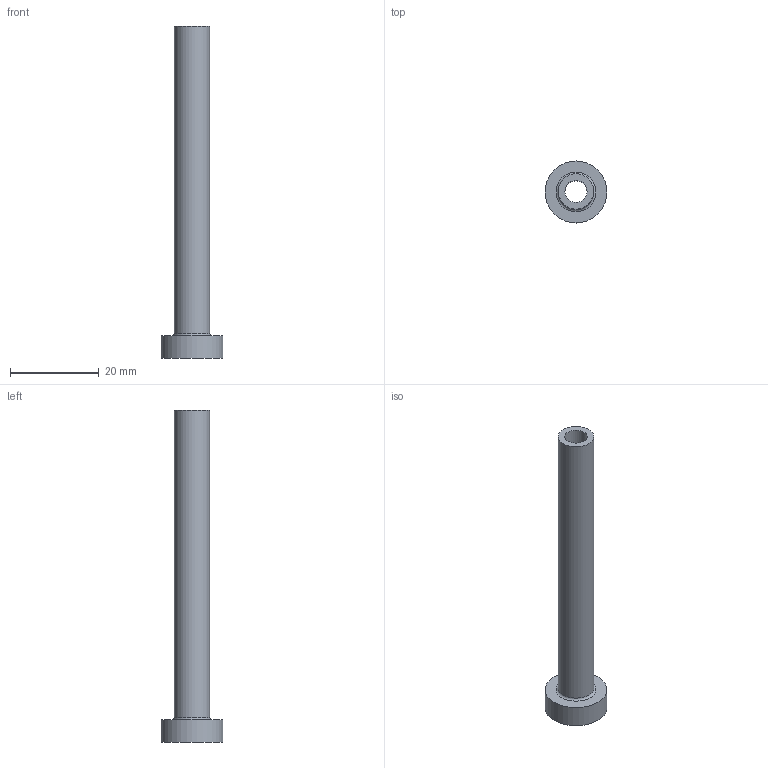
import cadquery as cq

total_length = 75.0
head_diameter = 14.0
head_height = 5.0
shaft_diameter = 8.0
bore_diameter = 5.0
neck_fillet_radius = 0.5

head_radius = head_diameter / 2
shaft_radius = shaft_diameter / 2
bore_radius = bore_diameter / 2


def sleeve_body():
    """Revolve the half section of head, shaft, neck fillet and through bore."""
    fillet_top = head_height + neck_fillet_radius
    fillet_outer_radius = shaft_radius + neck_fillet_radius
    half_section = (
        cq.Workplane("XZ")
        .moveTo(-bore_radius, 0)
        .lineTo(-head_radius, 0)
        .lineTo(-head_radius, head_height)
        .lineTo(-fillet_outer_radius, head_height)
        .radiusArc((-shaft_radius, fillet_top), -neck_fillet_radius)
        .lineTo(-shaft_radius, total_length)
        .lineTo(-bore_radius, total_length)
        .close()
    )
    return half_section.revolve(360, (0, 0, 0), (0, 1, 0))


result = sleeve_body()